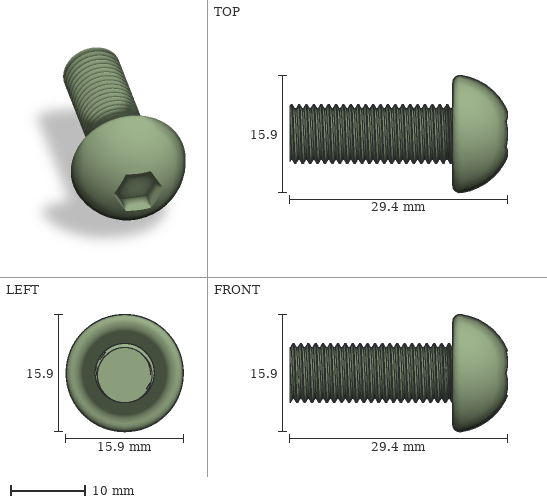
import cadquery as cq
import math

total_length = 29.4
dome_radius = 8.0
rim_radius = 1.0
socket_across_flats = 6.0
socket_depth = 3.0
thread_radius = 4.0
thread_pitch = 1.0

socket_apothem = socket_across_flats / 2
socket_across_corners = socket_across_flats / math.cos(math.pi / 6)
dome_height_at_flats = math.sqrt(dome_radius**2 - socket_apothem**2)
shank_length = total_length - dome_height_at_flats

thread_depth = 5 / 8 * thread_pitch * math.cos(math.pi / 6)
root_radius = thread_radius - thread_depth
crest_width = thread_pitch / 8
ridge_width = thread_pitch * 3 / 4
ridge_overlap = 0.05


def make_head():
    """Hemisphere with a rounded rim and a hexagonal socket, bearing face at the shank end."""
    dome = (
        cq.Workplane("XZ", origin=(0, 0, shank_length))
        .lineTo(dome_radius, 0)
        .radiusArc((0, dome_radius), -dome_radius)
        .close()
        .revolve(360, (0, 0), (0, 1))
        .faces("<Z").edges().fillet(rim_radius)
    )
    socket = (
        cq.Workplane("XY", origin=(0, 0, total_length - socket_depth))
        .transformed(rotate=(0, 0, 90))
        .polygon(6, socket_across_corners)
        .extrude(dome_radius)
    )
    return dome.cut(socket)


def make_thread_ridge():
    """Right-hand ridge running one pitch past both ends of the shank."""
    helix = cq.Wire.makeHelix(thread_pitch, shank_length + 2 * thread_pitch, root_radius)
    flank_slope = (ridge_width - crest_width) / 2 / thread_depth
    foot = ridge_width / 2 + ridge_overlap * flank_slope
    profile = [
        (root_radius - ridge_overlap, -foot),
        (thread_radius, -crest_width / 2),
        (thread_radius, crest_width / 2),
        (root_radius - ridge_overlap, foot),
    ]
    ridge = cq.Workplane("XZ").polyline(profile).close().sweep(cq.Workplane(helix), isFrenet=True)
    return ridge.translate((0, 0, -thread_pitch))


def make_shank():
    """Threaded shank cut square at its free end; the far end of the thread is buried in the head."""
    core = cq.Workplane("XY").circle(root_radius).extrude(shank_length + thread_pitch)
    end_trim = cq.Workplane("XY").circle(2 * thread_radius).extrude(-3 * thread_pitch)
    run_out_trim = (
        cq.Workplane("XY", origin=(0, 0, shank_length + thread_pitch / 2))
        .circle(2 * thread_radius)
        .extrude(3 * thread_pitch)
    )
    return core.union(make_thread_ridge()).cut(end_trim).cut(run_out_trim)


screw = make_shank().union(make_head())
result = screw.rotate((0, 0, 0), (0, 1, 0), 90)